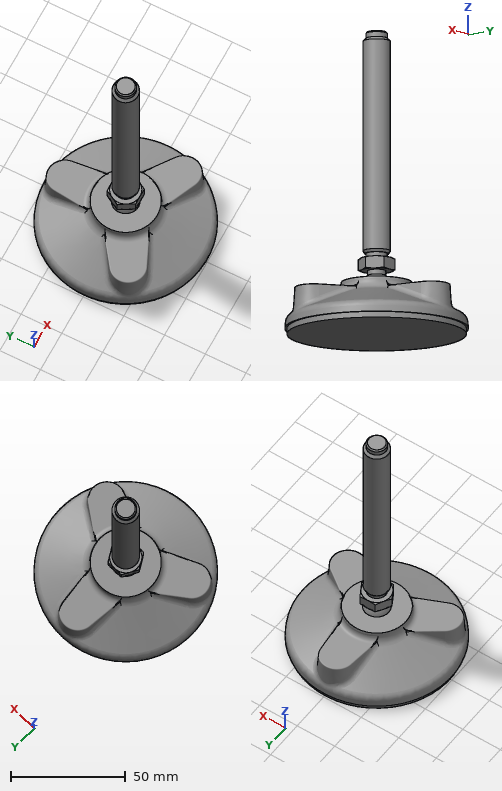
import cadquery as cq
import math

total_height = 133.78
base_radius = 40.0

pad_radius = 78.2 / 2
pad_height = 2.5

rim_draft = 5.0
rim_edge_height = 7.2
rim_fillet = 3.5
cone_slope = 25.0
core_radius = 6.5

hub_top_radius = 15.45
hub_shoulder_radius = 15.7
hub_height = 22.75
foot_arc_radius = 5.2

lug_count = 3
lug_top_height = 18.6
lug_end_distance = 29.8
lug_end_radius = 8.2
lug_side_taper = 6.0
lug_draft = 4.0
lug_inner_distance = 8.0
lug_bottom_height = 5.0
lug_root_fillet = 2.7
lug_top_fillet = 0.5
web_arc_radius = 2.65
web_depth = 1.0

ball_radius = 13.38 / 2
neck_radius = 4.0
neck_bottom_height = 25.9
nut_bottom_height = 28.0
nut_height = 5.4
nut_across_flats = 14.0
nut_sides = 6
nut_chamfer_angle = 20.0
collar_radius = 9.4 / 2
collar_top_height = 35.6
rod_radius = 12.0 / 2
rod_bottom_height = 36.8
rod_bottom_chamfer_radius = 5.2
rod_top_height = 129.7
tip_bottom_height = 131.0
tip_radius = 9.5 / 2
tip_chamfer = 0.65

edge_search_margin = 0.05
lug_root_min_span = 3.0


def tan_deg(angle):
    return math.tan(math.radians(angle))


def revolved(points):
    """Solid of revolution about Z from (radius, height) points."""
    return cq.Workplane("XZ").polyline(points).close().revolve(360, (0, 0, 0), (0, 1, 0))


rim_edge_radius = base_radius - (rim_edge_height - pad_height) * tan_deg(rim_draft)


def cone_height(radius):
    """Height of the conical face at a given radius."""
    return rim_edge_height + (rim_edge_radius - radius) * tan_deg(cone_slope)


foot_tangent_length = foot_arc_radius * tan_deg((90 - cone_slope) / 2)
foot_radius = hub_shoulder_radius + foot_tangent_length * math.cos(math.radians(cone_slope))
foot_center_radius = hub_shoulder_radius + foot_arc_radius
hub_shoulder_height = cone_height(hub_shoulder_radius) + foot_tangent_length


def on_axis_circles(shape, radius, height):
    """Edges of the full circle about Z at a given radius and height."""
    reach = radius + edge_search_margin
    lower = (-reach, -reach, height - edge_search_margin)
    upper = (reach, reach, height + edge_search_margin)
    return shape.edges(cq.selectors.BoxSelector(lower, upper, boundingbox=True))


def around_axis(shape):
    """Copies of a +Y shape, evenly spaced about Z."""
    return [shape.rotate((0, 0, 0), (0, 0, 1), i * 360 / lug_count) for i in range(lug_count)]


def plain_plate():
    """Conical plate without the hub, its slope running on inside the hub."""
    core_height = cone_height(core_radius)
    plate = revolved([
        (0, pad_height),
        (base_radius, pad_height),
        (rim_edge_radius, rim_edge_height),
        (core_radius, core_height),
        (0, core_height),
    ])
    return on_axis_circles(plate, rim_edge_radius, rim_edge_height).fillet(rim_fillet)


def hub():
    """Hub with a chamfered top and a concave foot that runs out tangent to the cone."""
    arc_middle = math.radians((90 - cone_slope) / 2)
    return (
        cq.Workplane("XZ")
        .moveTo(0, pad_height)
        .lineTo(foot_radius, pad_height)
        .lineTo(foot_radius, cone_height(foot_radius))
        .threePointArc(
            (
                foot_center_radius - foot_arc_radius * math.cos(arc_middle),
                hub_shoulder_height - foot_arc_radius * math.sin(arc_middle),
            ),
            (hub_shoulder_radius, hub_shoulder_height),
        )
        .lineTo(hub_top_radius, hub_height)
        .lineTo(0, hub_height)
        .close()
        .revolve(360, (0, 0, 0), (0, 1, 0))
    )


def lug_outline(height, end_radius):
    """Closed horizontal outline along +Y, with a round tip and widening towards the hub."""
    taper = math.radians(lug_side_taper)
    tangent_x = end_radius * math.cos(taper)
    tangent_y = lug_end_distance + end_radius * math.sin(taper)
    inner_x = tangent_x + (tangent_y - lug_inner_distance) * math.tan(taper)
    return (
        cq.Workplane("XY", origin=(0, 0, height))
        .moveTo(-inner_x, lug_inner_distance)
        .lineTo(-tangent_x, tangent_y)
        .threePointArc((0, lug_end_distance + end_radius), (tangent_x, tangent_y))
        .lineTo(inner_x, lug_inner_distance)
        .close()
    )


def lug():
    """Lug with drafted walls and a rounded top edge."""
    lug_height = lug_top_height - lug_bottom_height
    bottom_end_radius = lug_end_radius + lug_height * tan_deg(lug_draft)
    bottom = lug_outline(lug_bottom_height, bottom_end_radius).val()
    top = lug_outline(lug_top_height, lug_end_radius).val()
    body = cq.Workplane(cq.Solid.makeLoft([bottom, top], True))
    return body.faces(">Z").edges("not <Y").fillet(lug_top_fillet)


def lug_web():
    """Concave web on top of one lug, its arc tangent to the lug top and to the hub foot."""
    center_height = lug_top_height + web_arc_radius
    center_gap = foot_arc_radius - web_arc_radius
    center_drop = hub_shoulder_height - center_height
    center_run = math.sqrt(center_gap ** 2 - center_drop ** 2)
    center_radius = foot_center_radius - center_run
    end_angle = math.atan2(center_drop, center_run)
    middle_angle = (end_angle + math.pi / 2) / 2
    end_radius = center_radius - web_arc_radius * math.cos(end_angle)
    end_height = center_height - web_arc_radius * math.sin(end_angle)
    disc = (
        cq.Workplane("XZ")
        .moveTo(0, lug_top_height - web_depth)
        .lineTo(center_radius, lug_top_height - web_depth)
        .lineTo(center_radius, lug_top_height)
        .threePointArc(
            (
                center_radius - web_arc_radius * math.cos(middle_angle),
                center_height - web_arc_radius * math.sin(middle_angle),
            ),
            (end_radius, end_height),
        )
        .lineTo(0, end_height)
        .close()
        .revolve(360, (0, 0, 0), (0, 1, 0))
    )
    outline = lug_outline(lug_top_height, lug_end_radius - lug_top_fillet)
    footprint = outline.extrude(web_arc_radius, both=True)
    return disc.intersect(footprint)


def is_lug_root(edge):
    """True for the long sloping curves where a lug side meets the cone."""
    box = edge.BoundingBox()
    rise = box.zmax - box.zmin
    run = max(box.xmax - box.xmin, box.ymax - box.ymin)
    return edge.geomType() != "LINE" and min(rise, run) > lug_root_min_span


def lugged_plate():
    """Plate with its lugs; the root fillet carries on round each lug tip along tangent edges."""
    plate = plain_plate()
    for part in around_axis(lug()):
        plate = plate.union(part)
    roots = [edge for edge in plate.edges().vals() if is_lug_root(edge)]
    return plate.newObject(roots).fillet(lug_root_fillet)


def base():
    """Plate, lugs and hub in one piece."""
    webbed_hub = hub()
    for web in around_axis(lug_web()):
        webbed_hub = webbed_hub.union(web)
    return lugged_plate().union(webbed_hub)


def pad():
    """Round pad under the base."""
    return cq.Workplane("XY").circle(pad_radius).extrude(pad_height)


def spindle():
    """Swivel end, neck, collar, rod and stepped tip, all turned about Z."""
    ball_center_height = neck_bottom_height - math.sqrt(ball_radius ** 2 - neck_radius ** 2)
    ball_height = (hub_height + neck_bottom_height) / 2
    return (
        cq.Workplane("XZ")
        .moveTo(0, pad_height)
        .lineTo(ball_radius, pad_height)
        .lineTo(ball_radius, ball_center_height)
        .threePointArc(
            (math.sqrt(ball_radius ** 2 - (ball_height - ball_center_height) ** 2), ball_height),
            (neck_radius, neck_bottom_height),
        )
        .lineTo(neck_radius, nut_bottom_height)
        .lineTo(collar_radius, nut_bottom_height)
        .lineTo(collar_radius, collar_top_height)
        .lineTo(rod_bottom_chamfer_radius, collar_top_height)
        .lineTo(rod_radius, rod_bottom_height)
        .lineTo(rod_radius, rod_top_height)
        .lineTo(tip_radius, tip_bottom_height)
        .lineTo(tip_radius, total_height - tip_chamfer)
        .lineTo(tip_radius - tip_chamfer, total_height)
        .lineTo(0, total_height)
        .close()
        .revolve(360, (0, 0, 0), (0, 1, 0))
    )


def nut():
    """Hexagon with corners along X, its corners turned off by a cone at both ends."""
    corner_diameter = nut_across_flats / math.cos(math.pi / nut_sides)
    corner_drop = (corner_diameter - nut_across_flats) / 2 * tan_deg(nut_chamfer_angle)
    top_height = nut_bottom_height + nut_height
    hexagon = (
        cq.Workplane("XY", origin=(0, 0, nut_bottom_height))
        .polygon(nut_sides, corner_diameter)
        .extrude(nut_height)
    )
    turned = revolved([
        (0, nut_bottom_height),
        (nut_across_flats / 2, nut_bottom_height),
        (corner_diameter / 2, nut_bottom_height + corner_drop),
        (corner_diameter / 2, top_height - corner_drop),
        (nut_across_flats / 2, top_height),
        (0, top_height),
    ])
    return hexagon.intersect(turned)


result = base().union(pad()).union(spindle()).union(nut())